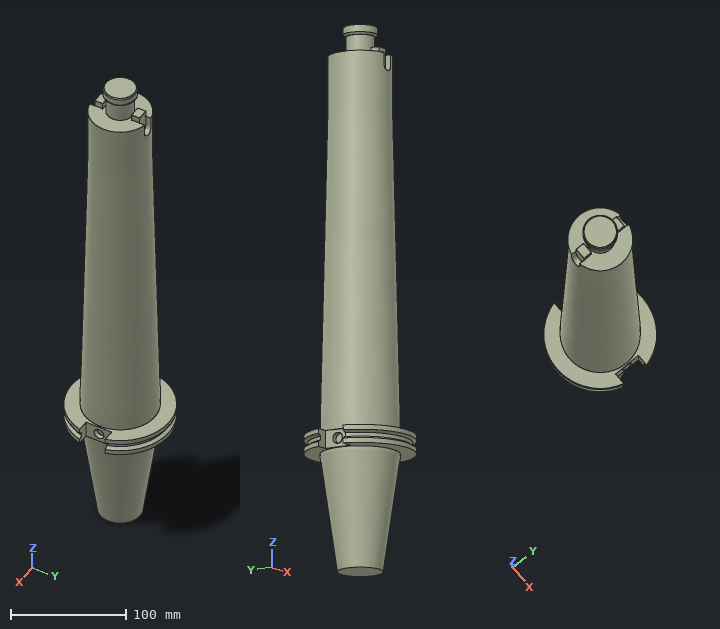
import cadquery as cq

gauge_height = 101.5
flange_bottom = 104.5
flange_top = 120.5
collar_top = 136.5
nose_bottom = 407.5
nose_top = 457.5
overall_height = 484.0

gauge_diameter = 69.5
taper_ratio = 7 / 24
taper_end_diameter = gauge_diameter - taper_ratio * gauge_height
flange_diameter = 98.5
nose_diameter = 56.5
pilot_diameter = 25.0

groove_width = 7.5
groove_floor_width = 3.5
groove_depth = 3.5
groove_height = (flange_bottom + flange_top) / 2

notch_width = 25.5
notch_floor_distance = 36.5
notch_hole_diameter = 9.5
notch_hole_depth = 5.0

key_width = 10.5
key_bottom = 442.5
key_top = nose_top + 6.0
key_inner_distance = 14.5
key_outer_distance = 22.8
slot_overrun = 5.0

screw_head_diameter = 30.0
screw_head_height = 9.0
screw_bottom_chamfer = 2.0
screw_top_chamfer = 1.0
pilot_top = overall_height - screw_head_height


def make_shank():
    """Turned body: taper, grooved flange, long conical neck, nose and pilot."""
    flange_radius = flange_diameter / 2
    groove_radius = flange_radius - groove_depth
    profile = [
        (0, 0),
        (taper_end_diameter / 2, 0),
        (gauge_diameter / 2, gauge_height),
        (gauge_diameter / 2, flange_bottom),
        (flange_radius, flange_bottom),
        (flange_radius, groove_height - groove_width / 2),
        (groove_radius, groove_height - groove_floor_width / 2),
        (groove_radius, groove_height + groove_floor_width / 2),
        (flange_radius, groove_height + groove_width / 2),
        (flange_radius, flange_top),
        (gauge_diameter / 2, flange_top),
        (gauge_diameter / 2, collar_top),
        (nose_diameter / 2, nose_bottom),
        (nose_diameter / 2, nose_top),
        (pilot_diameter / 2, nose_top),
        (pilot_diameter / 2, pilot_top),
        (0, pilot_top),
    ]
    return cq.Workplane("XZ").polyline(profile).close().revolve(360, (0, 0), (0, 1))


def cut_drive_notch(body, side):
    """Cut one flange notch and its blind hole; side is -1 or +1 along X."""
    notch_depth = flange_diameter / 2 - notch_floor_distance
    notch = cq.Workplane("XY").box(notch_depth, notch_width, flange_top - flange_bottom).translate(
        (side * (notch_floor_distance + notch_depth / 2), 0, groove_height)
    )
    hole = (
        cq.Workplane("YZ", origin=(side * notch_floor_distance, 0, groove_height))
        .circle(notch_hole_diameter / 2)
        .extrude(-side * notch_hole_depth)
    )
    return body.cut(notch).cut(hole)


def make_key_bar(outer_distance, angle):
    """Round-bottomed bar reaching outward from beside the pilot, turned about Z from the -Y side."""
    radius = key_width / 2
    bar = (
        cq.Workplane("XZ", origin=(0, -key_inner_distance, 0))
        .moveTo(-radius, key_top)
        .lineTo(-radius, key_bottom + radius)
        .threePointArc((0, key_bottom), (radius, key_bottom + radius))
        .lineTo(radius, key_top)
        .close()
        .extrude(outer_distance - key_inner_distance)
    )
    return bar.rotate((0, 0, 0), (0, 0, 1), angle)


def make_lock_screw():
    """Screw head resting on the pilot, chamfered underneath and slightly on top."""
    return (
        cq.Workplane("XY", origin=(0, 0, pilot_top))
        .circle(screw_head_diameter / 2)
        .extrude(screw_head_height)
        .faces("<Z")
        .chamfer(screw_bottom_chamfer)
        .faces(">Z")
        .chamfer(screw_top_chamfer)
    )


key_angles = (0, 180)

holder = make_shank()
for notch_side in (-1, 1):
    holder = cut_drive_notch(holder, notch_side)
for key_angle in key_angles:
    holder = holder.cut(make_key_bar(nose_diameter / 2 + slot_overrun, key_angle))

keys = [make_key_bar(key_outer_distance, key_angle) for key_angle in key_angles]
lock_screw = make_lock_screw()

result = cq.Compound.makeCompound([holder.val(), *[key.val() for key in keys], lock_screw.val()])